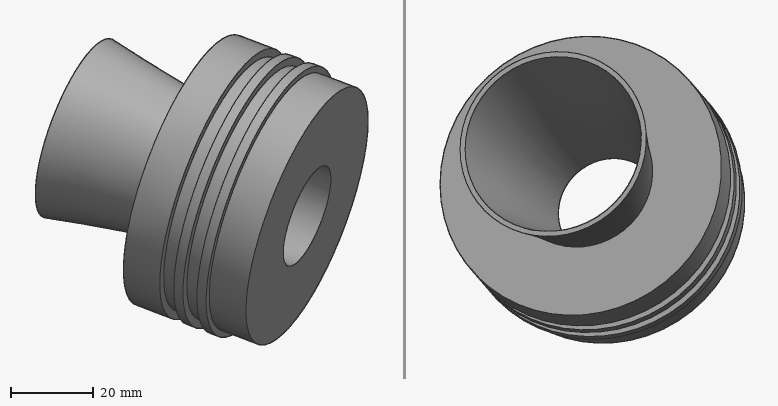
import cadquery as cq

total_length = 62.34
flange_length = 9.9
groove_width = 3.8
rib_width = 2.5
rib_count = 2
spigot_length = 10.0
body_length = flange_length + rib_count * (groove_width + rib_width) + spigot_length
horn_length = total_length - body_length

flange_radius = 70.33 / 2
groove_radius = 66.03 / 2
spigot_radius = 67.0 / 2

throat_radius = 26.1 / 2
mouth_radius = 22.0
bore_radius_at_body = 16.7
wall_thickness = 1.27


def cylinder(start, length, radius):
    """Solid cylinder on the X axis, beginning at X = start."""
    return cq.Workplane("YZ", origin=(start, 0, 0)).circle(radius).extrude(length)


def revolve_about_x(profile):
    """Full revolution of an XY profile about the X axis."""
    return profile.close().revolve(360, (0, 0, 0), (1, 0, 0))


def make_body():
    """Flange, alternating grooves and ribs, then the slightly smaller spigot."""
    body = cylinder(horn_length, flange_length, flange_radius)
    position = horn_length + flange_length
    for _ in range(rib_count):
        body = body.union(cylinder(position, groove_width, groove_radius))
        position += groove_width
        body = body.union(cylinder(position, rib_width, flange_radius))
        position += rib_width
    return body.union(cylinder(position, spigot_length, spigot_radius))


def make_flare(thickness):
    """Full-length flared solid whose curved side lies a radial thickness outside the bore."""
    return revolve_about_x(
        cq.Workplane("XY")
        .lineTo(0, mouth_radius + thickness)
        .threePointArc(
            (horn_length, bore_radius_at_body + thickness),
            (total_length, throat_radius + thickness),
        )
        .lineTo(total_length, 0)
    )


horn = make_flare(wall_thickness)
bore = make_flare(0)
result = make_body().union(horn).cut(bore)